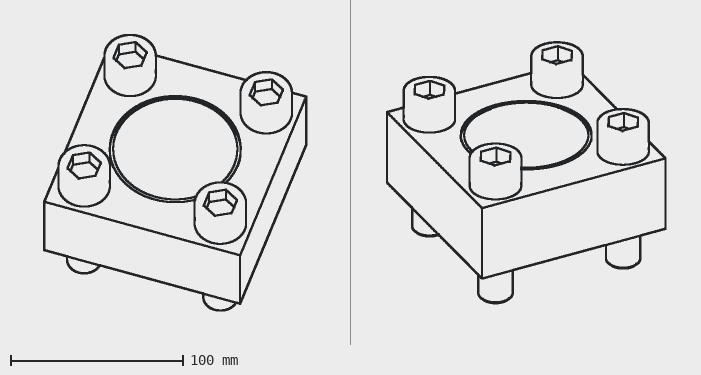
import cadquery as cq
import math

block_side = 120.0
block_height = 48.0

plug_diameter = 76.1
plug_flat_diameter = 72.1
groove_width = (plug_diameter - plug_flat_diameter) / 2
groove_depth = groove_width

spigot_diameter = 92.0
spigot_height = 3.7

screw_spacing = 83.4
head_diameter = 30.0
head_height = 20.0
head_fillet_radius = 1.0
shank_diameter = 20.0
shank_length = 27.0
shank_chamfer = 1.9
socket_across_flats = 17.0
socket_depth = 9.6


def make_block():
    block = cq.Workplane("XY").box(block_side, block_side, block_height, centered=(True, True, False))
    spigot = cq.Workplane("XY").circle(spigot_diameter / 2).extrude(-spigot_height)
    return block.union(spigot)


def make_groove():
    """Ring with a vertical outer wall and a sloping inner wall."""
    outer_radius = plug_diameter / 2
    profile = (
        cq.Workplane("XZ")
        .moveTo(plug_flat_diameter / 2, block_height)
        .lineTo(outer_radius, block_height)
        .lineTo(outer_radius, block_height - groove_depth)
        .close()
    )
    return profile.revolve(360, (0, 0, 0), (0, 1, 0))


def make_screw():
    """Screw on the Z axis: head above the block, shank end below it."""
    head = (
        cq.Workplane("XY", origin=(0, 0, block_height))
        .circle(head_diameter / 2)
        .extrude(head_height)
        .faces(">Z").edges()
        .fillet(head_fillet_radius)
    )
    shank = (
        cq.Workplane("XY", origin=(0, 0, block_height))
        .circle(shank_diameter / 2)
        .extrude(-(block_height + shank_length))
        .faces("<Z").edges()
        .chamfer(shank_chamfer)
    )
    socket_across_corners = socket_across_flats / math.cos(math.radians(30))
    socket = (
        cq.Workplane("XY", origin=(0, 0, block_height + head_height))
        .transformed(rotate=(0, 0, 90))
        .polygon(6, socket_across_corners)
        .extrude(-socket_depth)
    )
    return head.union(shank).cut(socket)


result = make_block().cut(make_groove())
screw = make_screw()
for x_side in (-1, 1):
    for y_side in (-1, 1):
        position = (x_side * screw_spacing / 2, y_side * screw_spacing / 2, 0)
        result = result.union(screw.translate(position))